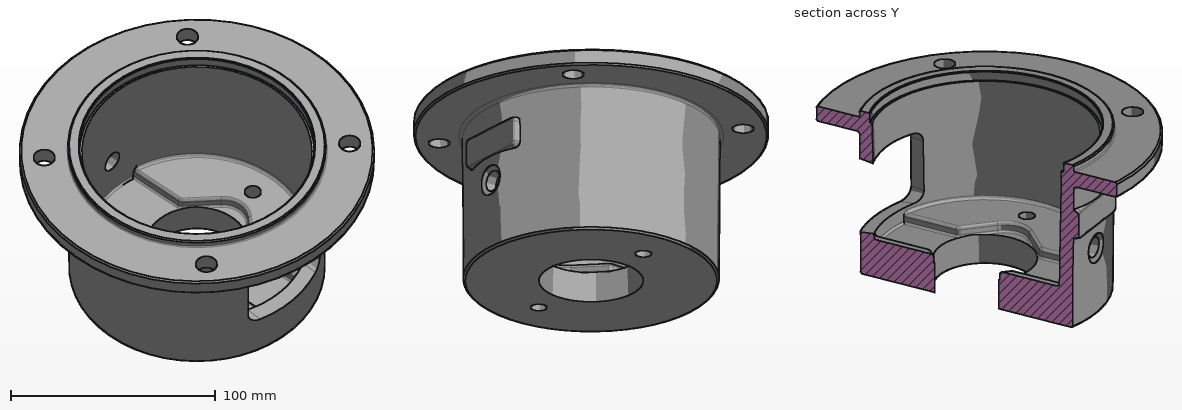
import cadquery as cq
import math

total_height = 88.9
pilot_height = 3.5
flange_thickness = 8.3
flange_top = total_height - pilot_height
flange_bottom = flange_top - flange_thickness
floor_height = 20.8
channel_depth = 5.2
channel_floor = floor_height - channel_depth

flange_radius = 86.5
pilot_radius = 63.0
body_top_radius = 63.0
body_bottom_radius = 62.5
flange_chamfer = 0.9
pilot_chamfer = 0.7
pilot_fillet = 0.5
bottom_chamfer = 1.0
neck_fillet = 1.5

bore_top_radius = 56.2
bore_floor_radius = 55.0
counterbore_radius = 57.3
counterbore_depth = 5.0
counterbore_chamfer = 0.5
bore_draft = (bore_top_radius - bore_floor_radius) / (total_height - floor_height)
bore_bottom_radius = bore_floor_radius - bore_draft * channel_depth
floor_fillet = 1.5

channel_half_width = 13.5
channel_length = 3 * bore_top_radius
diamond_reach = 31.3
diamond_corner_radius = 12.5
diamond_apex = diamond_reach + diamond_corner_radius * (math.sqrt(2) - 1)
channel_corner_radius = 2.6
channel_floor_fillet = 1.0

corner_margin = 1.7
floor_margin = 0.2

shaft_radius = 25.5
bolt_offset = 52.8
bolt_radius = 5.2
floor_hole_offset = 41.2
floor_hole_radius = 4.0
side_hole_radius = 5.2
side_hole_mouth_radius = 7.6
side_hole_height = 36.5
countersink_depth = 1.4

window_bottom = 22.5
window_top = 63.0
window_width = 54.7
window_corner_radius = 7.0
window_draft_angle = 7.0
window_depth = 17.3

pad_face_x = -63.1
pad_depth = 5.2
pad_width = 36.8
pad_height = 14.5
pad_center_height = 56.5
pad_corner_radius = 2.0
pad_draft_angle = 20.0
pad_edge_fillet = 0.7


def make_shell():
    """Solid flange, pilot ring and drafted body, turned about Z."""
    outline = (
        cq.Workplane("XZ")
        .lineTo(body_bottom_radius - bottom_chamfer, 0)
        .lineTo(body_bottom_radius, bottom_chamfer)
        .lineTo(body_top_radius, flange_bottom - neck_fillet)
        .radiusArc((body_top_radius + neck_fillet, flange_bottom), neck_fillet)
        .lineTo(flange_radius - flange_chamfer, flange_bottom)
        .lineTo(flange_radius, flange_bottom + flange_chamfer)
        .lineTo(flange_radius, flange_top - flange_chamfer)
        .lineTo(flange_radius - flange_chamfer, flange_top)
        .lineTo(pilot_radius + pilot_fillet, flange_top)
        .radiusArc((pilot_radius, flange_top + pilot_fillet), pilot_fillet)
        .lineTo(pilot_radius, total_height - pilot_chamfer)
        .lineTo(pilot_radius - pilot_chamfer, total_height)
        .lineTo(0, total_height)
        .close()
    )
    return outline.revolve(360, (0, 0, 0), (0, 1, 0))


def make_recess_prism():
    """Upright prism with the outline of the channel and the rounded diamond."""
    height = total_height - channel_floor
    channel = cq.Workplane("XY").rect(channel_length, 2 * channel_half_width).extrude(height)
    diamond = (
        cq.Workplane("XY")
        .polyline([(diamond_apex, 0), (0, diamond_apex), (-diamond_apex, 0), (0, -diamond_apex)])
        .close()
        .extrude(height)
        .edges("|Z and (>Y or <Y)")
        .fillet(diamond_corner_radius)
    )
    box_x = diamond_apex - channel_half_width + corner_margin
    box_y = channel_half_width + corner_margin
    inner_corners = cq.selectors.BoxSelector((-box_x, -box_y, 0), (box_x, box_y, height))
    prism = channel.union(diamond).edges("|Z").edges(inner_corners).fillet(channel_corner_radius)
    return prism.translate((0, 0, channel_floor))


def make_cavity():
    """Drafted bore with the recess sunk into its floor."""
    bore = (
        cq.Workplane("XZ")
        .moveTo(0, channel_floor)
        .lineTo(bore_bottom_radius, channel_floor)
        .lineTo(bore_top_radius, total_height)
        .lineTo(0, total_height)
        .close()
        .revolve(360, (0, 0, 0), (0, 1, 0))
    )
    floor_slab = (
        cq.Workplane("XY")
        .workplane(offset=channel_floor)
        .circle(flange_radius)
        .extrude(channel_depth)
    )
    raised_floor = floor_slab.cut(make_recess_prism())
    cavity = bore.cut(raised_floor)
    cavity = cavity.faces("<Z").edges().fillet(channel_floor_fillet)
    floor_faces = cq.selectors.BoxSelector(
        (-flange_radius, -flange_radius, floor_height - floor_margin),
        (flange_radius, flange_radius, floor_height + floor_margin),
    )
    return cavity.faces(floor_faces).edges().fillet(floor_fillet)


def make_counterbore():
    """Shallow step at the mouth of the bore with a chamfered rim."""
    step = (
        cq.Workplane("XY")
        .workplane(offset=total_height)
        .circle(counterbore_radius)
        .extrude(-counterbore_depth)
    )
    rim = (
        cq.Workplane("XY")
        .workplane(offset=total_height)
        .circle(counterbore_radius + counterbore_chamfer)
        .extrude(-counterbore_chamfer, taper=45)
    )
    return step.union(rim)


def make_vertical_holes():
    """Shaft opening, two floor holes and four flange bolt holes."""
    shaft = cq.Workplane("XY").circle(shaft_radius).extrude(floor_height)
    floor_holes = (
        cq.Workplane("XY")
        .pushPoints([(0, floor_hole_offset), (0, -floor_hole_offset)])
        .circle(floor_hole_radius)
        .extrude(floor_height)
    )
    bolt_holes = (
        cq.Workplane("XY")
        .workplane(offset=flange_bottom)
        .rect(2 * bolt_offset, 2 * bolt_offset, forConstruction=True)
        .vertices()
        .circle(bolt_radius)
        .extrude(flange_thickness)
    )
    return shaft.union(floor_holes).union(bolt_holes)


def make_side_hole():
    """Countersunk radial hole through the -X wall."""
    wall_x = -body_bottom_radius
    return (
        cq.Workplane("XY")
        .moveTo(-flange_radius, 0)
        .lineTo(-flange_radius, side_hole_mouth_radius)
        .lineTo(wall_x, side_hole_mouth_radius)
        .lineTo(wall_x + countersink_depth, side_hole_radius)
        .lineTo(0, side_hole_radius)
        .lineTo(0, 0)
        .close()
        .revolve(360, (0, 0, 0), (1, 0, 0))
        .translate((0, 0, side_hole_height))
    )


def make_window():
    """Rounded opening through the +X wall, narrowing inward."""
    height = window_top - window_bottom
    opening = cq.Sketch().rect(window_width, height).vertices().fillet(window_corner_radius)
    return (
        cq.Workplane("YZ", origin=(body_top_radius, 0, window_bottom + height / 2))
        .placeSketch(opening)
        .extrude(-window_depth, taper=window_draft_angle)
    )


def make_name_pad():
    """Flat pad with drafted sides that grows out of the -X wall."""
    pad = cq.Sketch().rect(pad_width, pad_height).vertices().fillet(pad_corner_radius)
    return (
        cq.Workplane("YZ", origin=(pad_face_x, 0, pad_center_height))
        .placeSketch(pad)
        .extrude(pad_depth, taper=-pad_draft_angle)
        .faces("<X")
        .edges()
        .fillet(pad_edge_fillet)
    )


result = (
    make_shell()
    .union(make_name_pad())
    .cut(make_cavity())
    .cut(make_counterbore())
    .cut(make_vertical_holes())
    .cut(make_side_hole())
    .cut(make_window())
)